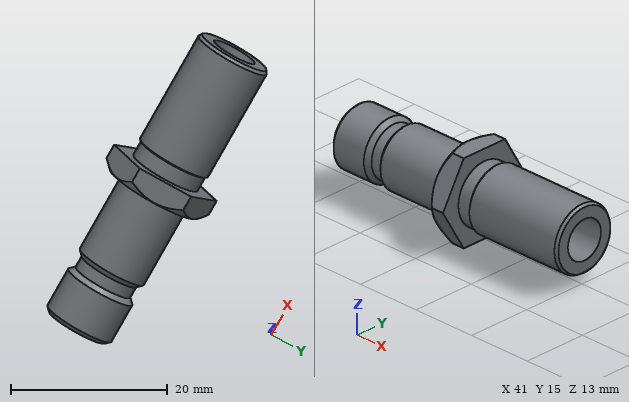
import cadquery as cq
import math

total_length = 41.0
groove_start = 6.0
groove_end = 8.98
hex_start = 19.93
hex_end = 23.0
thread_start = 25.1

body_radius = 4.7
nose_chamfer = 0.55
groove_radius = 4.0
groove_depth = body_radius - groove_radius
thread_radius = 5.0
thread_step = thread_radius - body_radius
thread_lead_in = 0.15
thread_end_chamfer = 0.45
bore_radius = 3.0

hex_across_flats = 13.0
hex_across_corners = hex_across_flats / math.cos(math.pi / 6)
hex_face_radius = 6.45
hex_corner_chamfer = hex_across_corners / 2 - hex_face_radius

nose_x = -total_length / 2


def revolve_about_x(profile_points):
    """Turn a closed (x, radius) outline about the X axis."""
    return (
        cq.Workplane("XY")
        .polyline(profile_points)
        .close()
        .revolve(360, (0, 0, 0), (1, 0, 0))
        .translate((nose_x, 0, 0))
    )


def make_body():
    """Solid turned body: chamfered nose, 45-degree sided groove, neck and larger thread."""
    return revolve_about_x([
        (0, 0),
        (0, body_radius - nose_chamfer),
        (nose_chamfer, body_radius),
        (groove_start, body_radius),
        (groove_start + groove_depth, groove_radius),
        (groove_end - groove_depth, groove_radius),
        (groove_end, body_radius),
        (thread_start, body_radius),
        (thread_start + thread_lead_in, thread_radius),
        (total_length - thread_end_chamfer, thread_radius),
        (total_length, thread_radius - thread_step),
        (total_length, 0),
    ])


def make_hexagon():
    """Hexagon whose corners are turned to a 45-degree cone on the nose side."""
    prism = (
        cq.Workplane("YZ")
        .workplane(offset=nose_x + hex_start)
        .polygon(6, hex_across_corners)
        .extrude(hex_end - hex_start)
    )
    corner_radius = hex_face_radius + hex_corner_chamfer
    turned_envelope = revolve_about_x([
        (hex_start, 0),
        (hex_start, hex_face_radius),
        (hex_start + hex_corner_chamfer, corner_radius),
        (hex_end, corner_radius),
        (hex_end, 0),
    ])
    return prism.intersect(turned_envelope)


def make_bore():
    """Plain bore through the full length."""
    return (
        cq.Workplane("YZ")
        .workplane(offset=nose_x)
        .circle(bore_radius)
        .extrude(total_length)
    )


result = make_body().union(make_hexagon()).cut(make_bore())